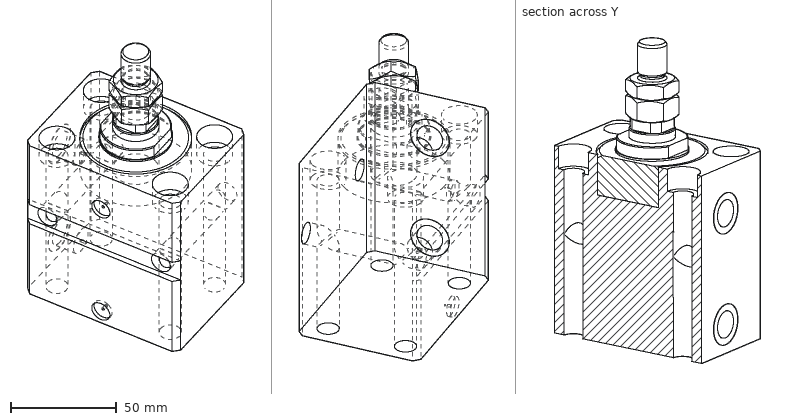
import cadquery as cq
import math

HOUSING_X = 85.0
HOUSING_Y = 63.0
HOUSING_Z = 93.0
CORNER_CHAMFER = 3.0

MOUNT_PITCH_X = 63.0
MOUNT_PITCH_Y = 40.0
MOUNT_HOLE_DIA = 10.5
COUNTERBORE_DIA = 17.0
COUNTERBORE_DEPTH = 11.0

KEYWAY_Z = 50.0
KEYWAY_WIDTH = 12.0
KEYWAY_DEPTH = 3.0

PORT_HEIGHTS = (14.3, 69.4)
PORT_DIA = 13.2
PORT_DEPTH = 12.0
SPOTFACE_DIA = 20.0
SPOTFACE_DEPTH = 0.2

VENT_HEIGHTS = (7.1, 71.2)
VENT_DIA = 10.0
VENT_DEPTH = 2.0

PASSAGE_DIA = 1.2
PASSAGE_DEPTH = 3.0

GLAND_DIA = 53.0
GLAND_DEPTH = 20.0
GLAND_CHAMFER = 1.5
LIP_DIA = 35.0
LIP_HEIGHT = 0.9
HUB_DIA = 34.0
HUB_FLATS = 30.0
HUB_HEIGHT = 6.9
HUB_CHAMFER = 0.5

ROD_DIA = 22.0
ROD_CHAMFER = 0.5
COLLAR_HEIGHT = 11.5
NECK_DIA = 21.0
NECK_FLATS = 18.0
NECK_LENGTH = 5.4

HEX_SIDES = 6
HEX_FLATS = 22.0
HEX_CHAMFER_ANGLE = 30.0
HEX_FACE_DIA = 21.1
NUT_HEIGHT = 11.0
ROD_HEX_HEIGHT = 8.0

STUD_DIA = 14.0
STUD_LENGTH = 18.0
STUD_CHAMFER_RADIAL = 0.9
STUD_CHAMFER_HEIGHT = 1.3
RELIEF_DIA = 11.8
RELIEF_LENGTH = 3.1

GLAND_BOTTOM_Z = HOUSING_Z - GLAND_DEPTH
COLLAR_TOP_Z = HOUSING_Z + COLLAR_HEIGHT
NUT_BOTTOM_Z = COLLAR_TOP_Z + NECK_LENGTH
ROD_HEX_Z = NUT_BOTTOM_Z + NUT_HEIGHT
STUD_BASE_Z = ROD_HEX_Z + ROD_HEX_HEIGHT


def cylinder(diameter, height, bottom_z):
    """Upright cylinder on the rod axis."""
    return cq.Workplane("XY").workplane(offset=bottom_z).circle(diameter / 2).extrude(height)


def chamfered_hexagon(height, bottom_z):
    """Hexagonal prism with corners on the Y axis, coned off at both ends."""
    corner_dia = HEX_FLATS / math.cos(math.pi / HEX_SIDES)
    corner_radius = corner_dia / 2
    face_radius = HEX_FACE_DIA / 2
    corner_drop = (corner_radius - face_radius) * math.tan(math.radians(HEX_CHAMFER_ANGLE))
    prism = (
        cq.Workplane("XY")
        .workplane(offset=bottom_z)
        .polygon(HEX_SIDES, corner_dia)
        .extrude(height)
        .rotate((0, 0, 0), (0, 0, 1), 180 / HEX_SIDES)
    )
    envelope = (
        cq.Workplane("XZ")
        .moveTo(0, bottom_z)
        .lineTo(face_radius, bottom_z)
        .lineTo(corner_radius, bottom_z + corner_drop)
        .lineTo(corner_radius, bottom_z + height - corner_drop)
        .lineTo(face_radius, bottom_z + height)
        .lineTo(0, bottom_z + height)
        .close()
        .revolve(360, (0, 0, 0), (0, 1, 0))
    )
    return prism.intersect(envelope)


def drill_from_left(z, diameter, depth):
    """Cutter along +X starting at the left face."""
    left_face = cq.Workplane("YZ").workplane(offset=-HOUSING_X / 2)
    return left_face.center(0, z).circle(diameter / 2).extrude(depth)


def drill_from_front(x, z, diameter, depth):
    """Cutter along +Y starting at the front face."""
    front_face = cq.Workplane("XZ").workplane(offset=HOUSING_Y / 2)
    return front_face.center(x, z).circle(diameter / 2).extrude(-depth)


def make_housing():
    block = cq.Workplane("XY").box(HOUSING_X, HOUSING_Y, HOUSING_Z, centered=(True, True, False))
    block = block.edges("|Z").chamfer(CORNER_CHAMFER)

    block = (
        block.faces(">Z")
        .workplane(origin=(0, 0, HOUSING_Z))
        .rarray(MOUNT_PITCH_X, MOUNT_PITCH_Y, 2, 2)
        .cboreHole(MOUNT_HOLE_DIA, COUNTERBORE_DIA, COUNTERBORE_DEPTH)
    )

    keyway = cq.Workplane("XY").box(HOUSING_X, KEYWAY_DEPTH, KEYWAY_WIDTH, centered=(True, False, True))
    block = block.cut(keyway.translate((0, -HOUSING_Y / 2, KEYWAY_Z)))
    for x in (-MOUNT_PITCH_X / 2, MOUNT_PITCH_X / 2):
        block = block.cut(drill_from_front(x, KEYWAY_Z, MOUNT_HOLE_DIA, HOUSING_Y))

    for z in PORT_HEIGHTS:
        block = block.cut(drill_from_left(z, SPOTFACE_DIA, SPOTFACE_DEPTH))
        block = block.cut(drill_from_left(z, PORT_DIA, PORT_DEPTH))
        block = block.cut(drill_from_left(z, PASSAGE_DIA, PORT_DEPTH + PASSAGE_DEPTH))

    for z in VENT_HEIGHTS:
        block = block.cut(drill_from_front(0, z, VENT_DIA, VENT_DEPTH))
        block = block.cut(drill_from_front(0, z, PASSAGE_DIA, VENT_DEPTH + PASSAGE_DEPTH))

    return block.cut(cylinder(GLAND_DIA, GLAND_DEPTH, GLAND_BOTTOM_Z))


def make_gland():
    plug = cylinder(GLAND_DIA, GLAND_DEPTH, GLAND_BOTTOM_Z).faces(">Z").edges().chamfer(GLAND_CHAMFER)
    lip = cylinder(LIP_DIA, LIP_HEIGHT, HOUSING_Z)
    hub = cylinder(HUB_DIA, HUB_HEIGHT, HOUSING_Z).faces(">Z").edges().chamfer(HUB_CHAMFER)
    flats = cq.Workplane("XY").box(HUB_FLATS, HUB_DIA, HUB_HEIGHT, centered=(True, True, False))
    hub = hub.intersect(flats.translate((0, 0, HOUSING_Z)))
    rod_bore = cylinder(ROD_DIA, GLAND_DEPTH + HUB_HEIGHT, GLAND_BOTTOM_Z)
    return plug.union(lip).union(hub).cut(rod_bore)


def make_stud():
    """Threaded end above the hexagon, with a 45 degree thread relief at its foot."""
    radius = STUD_DIA / 2
    relief_radius = RELIEF_DIA / 2
    relief_step = radius - relief_radius
    top_z = STUD_BASE_Z + STUD_LENGTH
    return (
        cq.Workplane("XZ")
        .moveTo(0, STUD_BASE_Z)
        .lineTo(radius, STUD_BASE_Z)
        .lineTo(relief_radius, STUD_BASE_Z + relief_step)
        .lineTo(relief_radius, STUD_BASE_Z + RELIEF_LENGTH - relief_step)
        .lineTo(radius, STUD_BASE_Z + RELIEF_LENGTH)
        .lineTo(radius, top_z - STUD_CHAMFER_HEIGHT)
        .lineTo(radius - STUD_CHAMFER_RADIAL, top_z)
        .lineTo(0, top_z)
        .close()
        .revolve(360, (0, 0, 0), (0, 1, 0))
    )


def make_rod():
    shaft = cylinder(ROD_DIA, COLLAR_TOP_Z - GLAND_BOTTOM_Z, GLAND_BOTTOM_Z)
    shaft = shaft.faces(">Z").edges().chamfer(ROD_CHAMFER)
    square = cq.Workplane("XY").box(NECK_FLATS, NECK_FLATS, NECK_LENGTH, centered=(True, True, False))
    neck = cylinder(NECK_DIA, NECK_LENGTH, COLLAR_TOP_Z).intersect(square.translate((0, 0, COLLAR_TOP_Z)))
    thread_in_nut = cylinder(STUD_DIA, NUT_HEIGHT, NUT_BOTTOM_Z)
    hexagon = chamfered_hexagon(ROD_HEX_HEIGHT, ROD_HEX_Z)
    return shaft.union(neck).union(thread_in_nut).union(hexagon).union(make_stud())


def make_lock_nut():
    return chamfered_hexagon(NUT_HEIGHT, NUT_BOTTOM_Z).cut(cylinder(STUD_DIA, NUT_HEIGHT, NUT_BOTTOM_Z))


housing = make_housing()
gland = make_gland()
rod = make_rod()
lock_nut = make_lock_nut()

result = cq.Compound.makeCompound([housing.val(), gland.val(), rod.val(), lock_nut.val()])